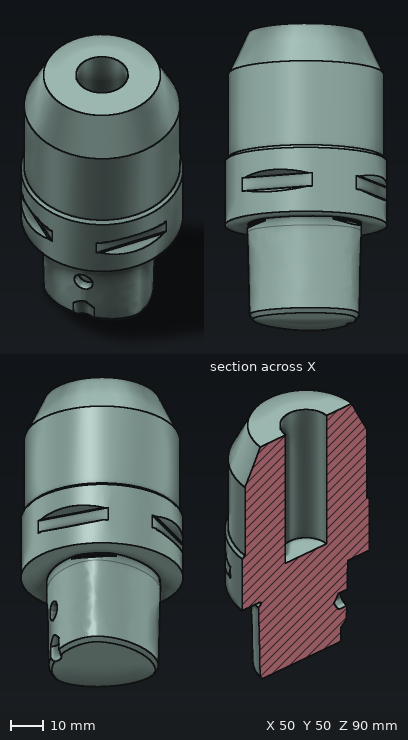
import cadquery as cq
import math

total_height = 90.0
shank_height = 30.0
flange_radius = 25.0
flange_height = 20.0
flange_chamfer = 1.0
body_radius = flange_radius - flange_chamfer
nose_radius = 18.0
nose_height = 12.8
bore_radius = 8.0
bore_depth = 49.5

shank_radius = 17.55
shank_end_radius = 16.9
lobe_height = 1.125
collar_height = 2.7
end_chamfer = 1.0
end_chamfer_height = 1.4
points_per_lobe = 12

relief_radius = 17.6
relief_height = 2.4
relief_land = 0.7
relief_flare = 0.4

slot_count = 4
slot_flat_distance = 22.05
slot_floor_height = 4.1
slot_step = 0.6
slot_wall_angle = 30.0
slot_first_angle = 45.0

dimple_radius = 3.015
dimple_height = 15.9
dimple_depth = 3.6
dimple_tip_angle = 118.0
keyway_radius = 4.05
keyway_center_y = -17.7
keyway_height = 5.3


def lobed_wire(mean_radius, z):
    """Closed constant-width curve with three lobes, one of them pointing to +Y."""
    count = 3 * points_per_lobe
    points = []
    for i in range(count):
        angle = 2 * math.pi * i / count
        phase = 3 * (angle - math.pi / 2)
        support = mean_radius + lobe_height * math.cos(phase)
        slope = -3 * lobe_height * math.sin(phase)
        x = support * math.cos(angle) - slope * math.sin(angle)
        y = support * math.sin(angle) + slope * math.cos(angle)
        points.append(cq.Vector(x, y, z))
    return cq.Wire.assembleEdges([cq.Edge.makeSpline(points, periodic=True)])


def lobed_section(lower_radius, lower_z, upper_radius, upper_z):
    wires = [lobed_wire(lower_radius, lower_z), lobed_wire(upper_radius, upper_z)]
    return cq.Workplane(obj=cq.Solid.makeLoft(wires, True))


def make_body():
    flange_top = shank_height + flange_height
    profile = [
        (0, shank_height),
        (flange_radius, shank_height),
        (flange_radius, flange_top),
        (body_radius, flange_top + flange_chamfer),
        (body_radius, total_height - nose_height),
        (nose_radius, total_height),
        (0, total_height),
    ]
    return cq.Workplane("XZ").polyline(profile).close().revolve(360, (0, 0), (0, 1))


def make_shank():
    collar_z = shank_height - collar_height
    chamfer = lobed_section(shank_end_radius - end_chamfer, 0, shank_end_radius, end_chamfer_height)
    taper = lobed_section(shank_end_radius, end_chamfer_height, shank_radius, collar_z)
    collar = lobed_section(shank_radius, collar_z, shank_radius, shank_height)
    return chamfer.union(taper).union(collar)


def make_relief():
    """Ring with a 45 degree lower side that trims only the lobes."""
    outer_radius = relief_radius + relief_height - relief_land
    profile = [
        (outer_radius, shank_height - relief_height),
        (relief_radius, shank_height - relief_land),
        (relief_radius, shank_height - relief_flare),
        (relief_radius + relief_flare, shank_height),
        (outer_radius, shank_height),
    ]
    return cq.Workplane("XZ").polyline(profile).close().revolve(360, (0, 0), (0, 1))


def make_slot(angle):
    """Flat-bottomed slot across the flange edge, walls square at the floor then flared."""
    flare_start = slot_flat_distance + slot_step
    flare_depth = flange_radius - flare_start
    half_floor = slot_floor_height / 2
    half_mouth = half_floor + flare_depth * math.tan(math.radians(slot_wall_angle))
    profile = [
        (slot_flat_distance, -half_floor),
        (flare_start, -half_floor),
        (flange_radius, -half_mouth),
        (flange_radius, half_mouth),
        (flare_start, half_floor),
        (slot_flat_distance, half_floor),
    ]
    slot = cq.Workplane("XZ").polyline(profile).close().extrude(flange_radius, both=True)
    middle_z = shank_height + flange_height / 2
    return slot.translate((0, 0, middle_z)).rotate((0, 0, 0), (0, 0, 1), angle)


def make_dimple():
    """Radial drilling along Y with a conical bottom."""
    floor_y = dimple_depth - (shank_radius - lobe_height)
    tip_y = floor_y + dimple_radius / math.tan(math.radians(dimple_tip_angle / 2))
    profile = [
        (0, -flange_radius),
        (dimple_radius, -flange_radius),
        (dimple_radius, floor_y),
        (0, tip_y),
    ]
    dimple = cq.Workplane("XY").polyline(profile).close().revolve(360, (0, 0), (0, 1))
    return dimple.translate((0, 0, dimple_height))


def make_keyway():
    """Vertical round groove ending in a 45 degree cone."""
    profile = [
        (0, 0),
        (keyway_radius, 0),
        (keyway_radius, keyway_height),
        (0, keyway_height + keyway_radius),
    ]
    keyway = cq.Workplane("XZ").polyline(profile).close().revolve(360, (0, 0), (0, 1))
    return keyway.translate((0, keyway_center_y, 0))


shank = make_shank().cut(make_relief()).cut(make_dimple()).cut(make_keyway())
body = make_body()
for index in range(slot_count):
    body = body.cut(make_slot(slot_first_angle + index * 360 / slot_count))

result = body.union(shank).faces(">Z").workplane(origin=(0, 0, total_height))
result = result.circle(bore_radius).cutBlind(-bore_depth)